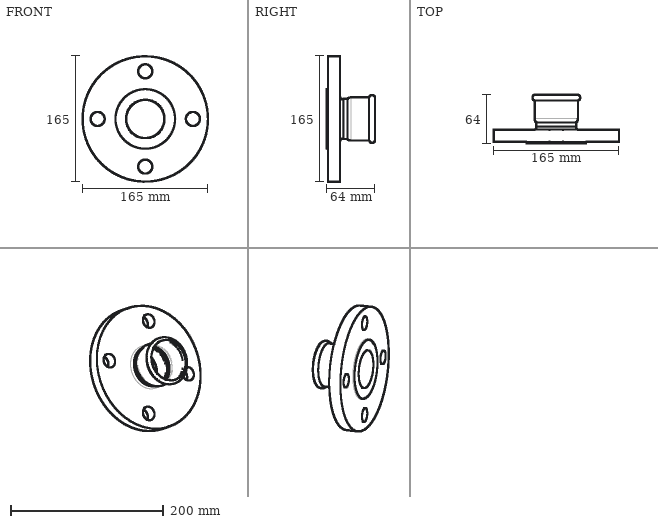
import cadquery as cq
import math

flange_radius = 82.5
flange_front = 2.0
flange_back = 18.0
bore_diameter = 50.0
bore_radius = bore_diameter / 2

face_radius = 39.1
face_root = 1.0

bolt_count = 4
bolt_circle_radius = 62.5
bolt_hole_radius = 9.0

land_radius = 26.0
root_fillet = 3.0
land_end = 22.3
neck_radius = 26.5
neck_end = 27.4

socket_radius = 28.5
socket_start = 32.3
total_length = 64.0
wall = 1.5
socket_bore_radius = socket_radius - wall
bead_outer_radius = 31.5
bead_width = 8.1
bead_round = bead_width / 2
bead_center_radius = bead_outer_radius - bead_round
bead_center_y = total_length - bead_round
bead_start = bead_center_y - math.sqrt(bead_round**2 - (socket_radius - bead_center_radius) ** 2)


def concave_corner(center_r, center_y, radius, y_side):
    """Middle of a quarter arc facing the axis, on the given side of its center."""
    offset = radius / math.sqrt(2)
    return (center_r - offset, center_y + y_side * offset)


def revolved_body():
    """Half section in (radius, Y), turned around the Y axis."""
    face_root_radius = face_radius + face_root
    land_start = flange_back + root_fillet
    profile = (
        cq.Workplane("XY")
        .moveTo(bore_radius, 0)
        .lineTo(face_radius, 0)
        .lineTo(face_radius, flange_front - face_root)
        .threePointArc(
            concave_corner(face_root_radius, flange_front - face_root, face_root, 1),
            (face_root_radius, flange_front),
        )
        .lineTo(flange_radius, flange_front)
        .lineTo(flange_radius, flange_back)
        .lineTo(land_radius + root_fillet, flange_back)
        .threePointArc(
            concave_corner(land_radius + root_fillet, land_start, root_fillet, -1),
            (land_radius, land_start),
        )
        .lineTo(land_radius, land_end)
        .lineTo(neck_radius, land_end)
        .lineTo(neck_radius, neck_end)
    )
    flare_drop = socket_radius - neck_radius
    flare_length = socket_start - neck_end
    flare_round = (flare_drop**2 + flare_length**2) / (2 * flare_drop)
    half_angle = math.asin(flare_length / flare_round) / 2
    flare_middle = (
        socket_radius - flare_round * (1 - math.cos(half_angle)),
        socket_start - flare_round * math.sin(half_angle),
    )
    profile = (
        profile.threePointArc(flare_middle, (socket_radius, socket_start))
        .lineTo(socket_radius, bead_start)
        .threePointArc((bead_outer_radius, bead_center_y), (bead_center_radius, total_length))
        .lineTo(socket_bore_radius, total_length)
        .lineTo(socket_bore_radius, socket_start)
    )
    profile = profile.tangentArcPoint((bore_radius, neck_end), relative=False).close()
    return profile.revolve(360, (0, 0), (0, 1))


def bolt_holes():
    return (
        cq.Workplane("XZ")
        .polarArray(bolt_circle_radius, 0, 360, bolt_count)
        .circle(bolt_hole_radius)
        .extrude(-total_length)
    )


result = revolved_body().cut(bolt_holes())